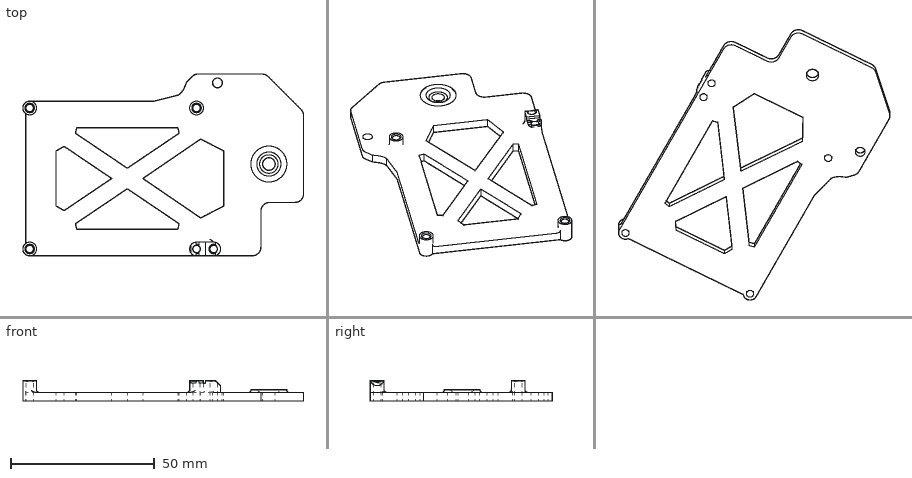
import cadquery as cq
import math

plate_height = 3.0
post_height = 7.1
boss_height = 4.0

post_diameter = 4.8
post_radius = post_diameter / 2
post_hole_radius = 1.3
post_hole_chamfer = 0.4
post_pitch_x = 58.0
post_pitch_y = 49.1
post_fillet = 1.0
left_x = post_radius
right_x = left_x + post_pitch_x
front_y = post_radius
back_y = front_y + post_pitch_y

plate_left = 1.0
plate_right = 97.7
plate_back = 63.3
tray_back = back_y + post_radius
tray_right = 82.9
step_y = 18.6
corner_radius = 3.0
bevel_leg = 13.3
neck_foot_x = 45.6
neck_start = (54.1, 56.0)
neck_middle = (55.6, 57.5)
neck_end = (56.5, 59.2)
neck_shoulder = (57.0, 60.5)
neck_top_x = neck_shoulder[0] + plate_back - neck_shoulder[1]

cross_x = 36.4
cross_y = tray_back / 2
bar_gap_x = 5.5
bar_gap_y = 3.6
window_left = 11.6
window_left_corner = 14.4
window_left_corner_rise = 11.1
window_right = 69.9
window_right_corner = 61.9
window_right_corner_rise = 13.7
window_side_rise = 9.6
window_edge_rise = 17.6
window_edge_half = 17.6
window_end_half = 18.0
window_end_rise = 15.7

edge_hole_radius = 1.7
edge_hole_center = (67.7, 60.2)

boss_center = (85.6, 32.0)
boss_radius = 6.3
boss_fillet = 0.9
boss_hole_radius = 2.15
recess_top_radius = 4.2
recess_floor_radius = 3.2
recess_depth = 1.0

block_hole_pitch = 6.0
block_hole_x = right_x + block_hole_pitch
block_end_x = block_hole_x + post_radius
block_bevel = 1.8
block_fillet_end_x = 65.2
notch_depth = 0.9
notch_spans = [(58.5, 60.3), (61.4, 63.5)]


def plate_outline():
    return (
        cq.Workplane("XY")
        .moveTo(plate_left, 0)
        .lineTo(tray_right, 0)
        .lineTo(tray_right, step_y)
        .lineTo(plate_right, step_y)
        .lineTo(plate_right, plate_back - bevel_leg)
        .lineTo(plate_right - bevel_leg, plate_back)
        .lineTo(neck_top_x, plate_back)
        .lineTo(*neck_shoulder)
        .lineTo(*neck_end)
        .threePointArc(neck_middle, neck_start)
        .lineTo(neck_foot_x, tray_back)
        .lineTo(plate_left, tray_back)
        .close()
    )


def rounded_slab(height):
    """Prism of the plate outline with its rounded corners."""
    slab = plate_outline().extrude(height)
    rounded_corners = [
        (tray_right, 0),
        (tray_right, step_y),
        (plate_right, step_y),
        (plate_right, plate_back - bevel_leg),
        (plate_right - bevel_leg, plate_back),
        (neck_top_x, plate_back),
    ]
    for x, y in rounded_corners:
        slab = slab.edges(cq.NearestToPointSelector((x, y, height / 2))).fillet(corner_radius)
    for y, inward in ((0, 1), (tray_back, -1)):
        corner_y = y + inward * post_radius / 2
        corner = cq.Workplane("XY").center(left_x - post_radius / 2, corner_y)
        slab = slab.cut(corner.rect(post_radius, post_radius).extrude(height))
    return slab


def window_points():
    back = [
        (-window_edge_half, window_edge_rise),
        (window_edge_half, window_edge_rise),
        (window_end_half, window_end_rise),
        (0, bar_gap_y),
        (-window_end_half, window_end_rise),
    ]
    front = [(x, -y) for x, y in back]
    windows = [back, front]
    sides = [
        (-bar_gap_x, window_left_corner, window_left_corner_rise, window_left),
        (bar_gap_x, window_right_corner, window_right_corner_rise, window_right),
    ]
    for tip, corner_x, corner_rise, edge_x in sides:
        upper = [
            (corner_x - cross_x, corner_rise),
            (edge_x - cross_x, window_side_rise),
        ]
        lower = [(x, -y) for x, y in reversed(upper)]
        windows.append([(tip, 0)] + upper + lower)
    return windows


def fillet_middle(fillet):
    """Distance from both walls to the middle of a concave quarter arc."""
    return fillet * (1 - math.cos(math.radians(45)))


def root_fillet(center, radius, fillet):
    """Ring with a concave section that blends a cylinder into the plate top."""
    middle = fillet_middle(fillet)
    return (
        cq.Workplane("XZ")
        .moveTo(0, 0)
        .lineTo(radius + fillet, 0)
        .threePointArc((radius + middle, middle), (radius, fillet))
        .lineTo(0, fillet)
        .close()
        .revolve(360, (0, 0, 0), (0, 1, 0))
        .translate((center[0], center[1], plate_height))
    )


def cylinder(center, radius, height):
    return cq.Workplane("XY").center(*center).circle(radius).extrude(height)


def cone(center, bottom_radius, top_radius, top_z, depth):
    solid = cq.Solid.makeCone(bottom_radius, top_radius, depth)
    return cq.Workplane(obj=solid.translate(cq.Vector(center[0], center[1], top_z - depth)))


def post_hole(center):
    drill = cylinder(center, post_hole_radius, post_height)
    mouth_radius = post_hole_radius + post_hole_chamfer
    return drill.union(cone(center, post_hole_radius, mouth_radius, post_height, post_hole_chamfer))


def clip_block():
    """Round-ended block with a bevelled end and a fillet along its back."""
    block = (
        cq.Workplane("XY")
        .moveTo(right_x, 0)
        .lineTo(block_hole_x, 0)
        .threePointArc((block_end_x, front_y), (block_hole_x, post_diameter))
        .lineTo(right_x, post_diameter)
        .close()
        .extrude(post_height)
    )
    bevel = (
        cq.Workplane("XZ")
        .moveTo(block_end_x, post_height - block_bevel)
        .lineTo(block_end_x, post_height)
        .lineTo(block_end_x - block_bevel, post_height)
        .close()
        .extrude(-post_diameter)
    )
    middle = fillet_middle(post_fillet)
    block_back = post_diameter
    back_fillet = (
        cq.Workplane("YZ", origin=(right_x, block_back, plate_height))
        .lineTo(post_fillet, 0)
        .threePointArc((middle, middle), (0, post_fillet))
        .close()
        .extrude(block_hole_x - right_x)
    )
    run_out = (
        cq.Workplane("XY")
        .moveTo(right_x, block_back)
        .lineTo(block_hole_x, block_back)
        .lineTo(block_fillet_end_x, block_back + post_fillet)
        .lineTo(right_x, block_back + post_fillet)
        .close()
        .extrude(post_height)
    )
    return block.cut(bevel).union(back_fillet.intersect(run_out))


plate = rounded_slab(plate_height)
for points in window_points():
    window = cq.Workplane("XY").center(cross_x, cross_y).polyline(points).close()
    plate = plate.cut(window.extrude(plate_height))

post_centers = [(x, y) for x in (left_x, right_x) for y in (front_y, back_y)]
plate_column = rounded_slab(post_height)
body = plate
for center in post_centers:
    body = body.union(root_fillet(center, post_radius, post_fillet).intersect(plate_column))
    body = body.union(cylinder(center, post_radius, post_height))
body = body.union(root_fillet(boss_center, boss_radius, boss_fillet))
body = body.union(cylinder(boss_center, boss_radius, boss_height))

body = body.union(clip_block())
for start_x, end_x in notch_spans:
    notch = cq.Workplane("XY").box(end_x - start_x, post_diameter, notch_depth, centered=False)
    body = body.cut(notch.translate((start_x, 0, post_height - notch_depth)))

for center in post_centers + [(block_hole_x, front_y)]:
    body = body.cut(post_hole(center))
body = body.cut(cylinder(edge_hole_center, edge_hole_radius, plate_height))
body = body.cut(cylinder(boss_center, boss_hole_radius, boss_height))
body = body.cut(cone(boss_center, recess_floor_radius, recess_top_radius, boss_height, recess_depth))

result = body